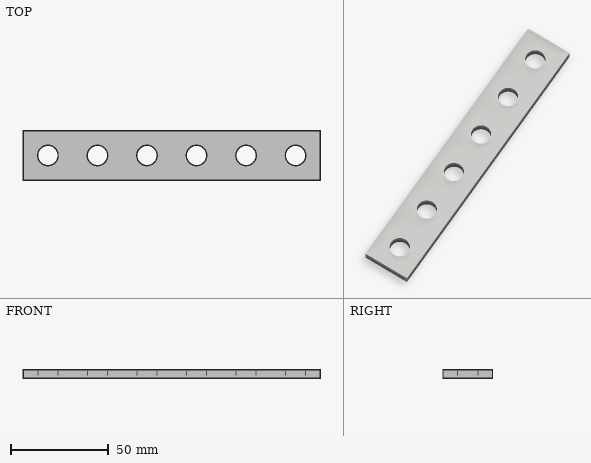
import cadquery as cq

length = 152.4
width = 25.5
thickness = 4.5

hole_count = 6
hole_diameter = 10.4
hole_pitch = length / hole_count

bar = cq.Workplane("XY").box(length, width, thickness, centered=(True, True, False))

result = (
    bar.faces(">Z")
    .workplane()
    .rarray(hole_pitch, width, hole_count, 1)
    .hole(hole_diameter)
)